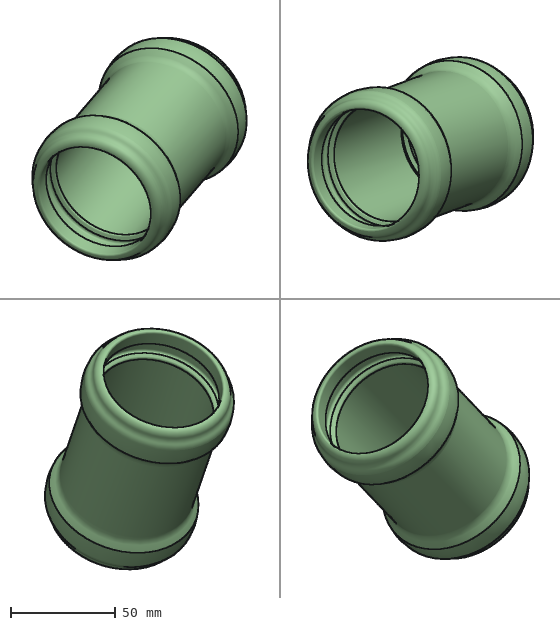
import cadquery as cq
import math

length = 105.0
half_length = length / 2

body_radius = 66.2 / 2
nose_radius = 67.6 / 2
flank_radius = 35.3
bulge_edge_radius = 36.8
bulge_radius = 37.22
shoulder_radius = 34.5

nose_depth = 3.3
front_flank_depth = 6.1
bulge_start = 8.9
bulge_end = 18.7
shoulder_depth = 21.8
body_start = 25.8

root_rise = shoulder_radius - body_radius
root_run = body_start - shoulder_depth
root_sagitta = math.hypot(root_rise, root_run) / 2 * math.tan(math.atan2(root_rise, root_run) / 2)

mouth_radius = 58.5 / 2
bore_radius = 58.8 / 2
mouth_round = 1.0
groove_radius = 33.1
groove_start = 8.4
groove_end = 16.8
cone_outer_radius = 31.4
cone_inner_radius = 29.8
cone_start = 18.1
cone_end = 18.8
bore_start = 20.5


def at(radius, depth):
    """Profile point at a radius and a distance inward from the +Y end face."""
    return (radius, half_length - depth)


def end_outline():
    """Outline round the +Y end, from the body, past the mouth and the groove, to the bore."""
    outside = (
        cq.Workplane("XY")
        .moveTo(*at(body_radius, body_start))
        .sagittaArc(at(shoulder_radius, shoulder_depth), root_sagitta)
        .tangentArcPoint(at(bulge_edge_radius, bulge_end), relative=False)
        .threePointArc(
            at(bulge_radius, (bulge_start + bulge_end) / 2),
            at(bulge_edge_radius, bulge_start),
        )
        .tangentArcPoint(at(flank_radius, front_flank_depth), relative=False)
        .tangentArcPoint(at(nose_radius, nose_depth), relative=False)
        .tangentArcPoint(at(mouth_radius + mouth_round, 0), relative=False)
    )
    return (
        outside
        .radiusArc(at(mouth_radius, mouth_round), -mouth_round)
        .lineTo(*at(mouth_radius, groove_start))
        .lineTo(*at(groove_radius, groove_start))
        .lineTo(*at(groove_radius, groove_end))
        .tangentArcPoint(at(cone_outer_radius, cone_start), relative=False)
        .lineTo(*at(cone_inner_radius, cone_end))
        .tangentArcPoint(at(bore_radius, bore_start), relative=False)
    )


near_end = end_outline().wire().val()
far_end = near_end.mirror("XZ")
body_line = cq.Edge.makeLine(far_end.startPoint(), near_end.startPoint())
bore_line = cq.Edge.makeLine(near_end.endPoint(), far_end.endPoint())
section = cq.Wire.assembleEdges([body_line, *near_end.Edges(), bore_line, *far_end.Edges()])

result = cq.Workplane("XY").add(section).toPending().revolve(360, (0, 0, 0), (0, 1, 0))